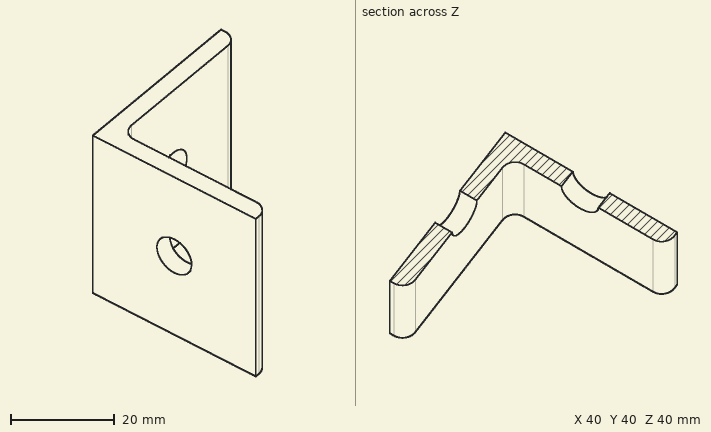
import cadquery as cq

leg_length = 40.0
height = 40.0
thickness = 4.0
inner_corner_radius = 3.0
toe_radius = 3.0
hole_diameter = 8.5

hole_offset = leg_length / 2
hole_height = height / 2


def angle_profile():
    """Solid equal-leg angle with its outer corner on the Z axis."""
    leg_x = cq.Workplane("XY").box(leg_length, thickness, height, centered=False)
    leg_y = cq.Workplane("XY").box(thickness, leg_length, height, centered=False)
    return leg_x.union(leg_y)


def vertical_edge_at(x, y):
    """Selector for the vertical edge whose middle is nearest to (x, y)."""
    return cq.selectors.NearestToPointSelector((x, y, height / 2))


def round_inner_edges(body):
    """Round the inner corner and the inner edge of each leg's toe."""
    body = body.edges("|Z").edges(vertical_edge_at(thickness, thickness)).fillet(inner_corner_radius)
    for x, y in [(leg_length, thickness), (thickness, leg_length)]:
        body = body.edges("|Z").edges(vertical_edge_at(x, y)).fillet(toe_radius)
    return body


def leg_hole(origin, direction):
    """Cylinder that passes through one leg, starting on its outer face."""
    return cq.Workplane(
        cq.Solid.makeCylinder(hole_diameter / 2, thickness, cq.Vector(*origin), cq.Vector(*direction))
    )


result = round_inner_edges(angle_profile())
result = result.cut(leg_hole((hole_offset, 0, hole_height), (0, 1, 0)))
result = result.cut(leg_hole((0, hole_offset, hole_height), (1, 0, 0)))